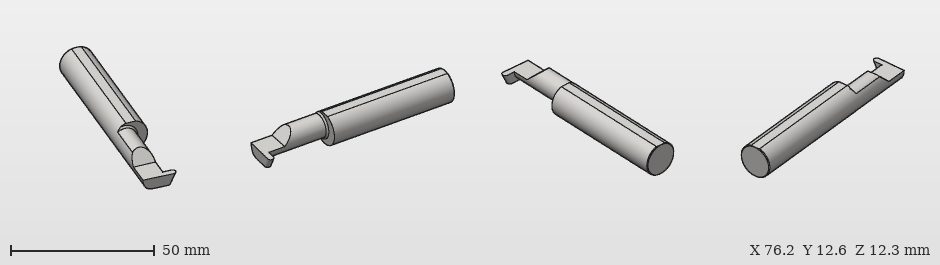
import cadquery as cq
import math

total_length = 76.2
shank_length = 49.5
shank_radius = 6.3
shank_end_chamfer = 0.3
shank_flat_depth = 0.27

neck_radius = 4.5
neck_center_y = -2.5
neck_root_flare = 0.7

head_start_x = 67.2
cutting_face_z = 0.0

tooth_width = 2.45
tooth_reach_y = 6.3
tooth_relief_angle = 25.0
end_relief = 0.4

tooth_radius = tooth_width / 2
tooth_center_y = tooth_reach_y - tooth_radius


def make_shank():
    shank = cq.Workplane("YZ").circle(shank_radius).extrude(shank_length)
    shank = shank.faces("<X").chamfer(shank_end_chamfer)
    flat_z = shank_radius - shank_flat_depth
    above_flat = cq.Workplane("XY").box(
        shank_length, 2 * shank_radius, shank_flat_depth, centered=(False, True, False)
    ).translate((0, 0, flat_z))
    return shank.cut(above_flat)


def make_neck():
    """Offset round neck, trimmed flush with the shank cylinder."""
    neck_length = total_length - shank_length
    start = cq.Workplane("YZ", origin=(shank_length, neck_center_y, 0))
    neck = start.circle(neck_radius).extrude(neck_length)
    flare = cq.Workplane(cq.Solid.makeCone(
        neck_radius + neck_root_flare, neck_radius, neck_root_flare,
        cq.Vector(shank_length, neck_center_y, 0), cq.Vector(1, 0, 0),
    ))
    envelope = cq.Workplane("YZ", origin=(shank_length, 0, 0)).circle(shank_radius).extrude(neck_length)
    return neck.union(flare).intersect(envelope)


def make_head_clearance():
    """Material above the cutting face and its 45 degree ramp."""
    height = shank_radius - cutting_face_z
    return (
        cq.Workplane("XZ")
        .moveTo(head_start_x, cutting_face_z)
        .lineTo(total_length, cutting_face_z)
        .lineTo(total_length, cutting_face_z + height)
        .lineTo(head_start_x - height, cutting_face_z + height)
        .close()
        .extrude(shank_radius, both=True)
    )


def make_end_clearance():
    """Wedge that slopes the end face back from the tooth."""
    return (
        cq.Workplane("XY")
        .moveTo(total_length, tooth_center_y)
        .lineTo(total_length, -shank_radius)
        .lineTo(total_length - end_relief, -shank_radius)
        .close()
        .extrude(shank_radius, both=True)
    )


def make_tooth():
    """Round-nosed tooth, swept obliquely downward to give tip clearance."""
    inner_x = total_length - tooth_width
    face = (
        cq.Workplane("XY", origin=(0, 0, cutting_face_z))
        .moveTo(inner_x, neck_center_y)
        .lineTo(total_length, neck_center_y)
        .lineTo(total_length, tooth_center_y)
        .threePointArc((total_length - tooth_radius, tooth_reach_y), (inner_x, tooth_center_y))
        .close()
    )
    depth = neck_radius
    setback = depth * math.tan(math.radians(tooth_relief_angle))
    tooth = cq.Solid.extrudeLinear(face.wires().val(), [], cq.Vector(0, -setback, -depth))
    beyond_center = (
        cq.Workplane("XY")
        .box(tooth_width, 2 * shank_radius, depth, centered=(False, False, False))
        .translate((inner_x, neck_center_y - 2 * shank_radius, -depth))
    )
    return cq.Workplane(tooth).cut(beyond_center)


neck = make_neck().cut(make_head_clearance())
result = make_shank().union(neck).union(make_tooth()).cut(make_end_clearance())